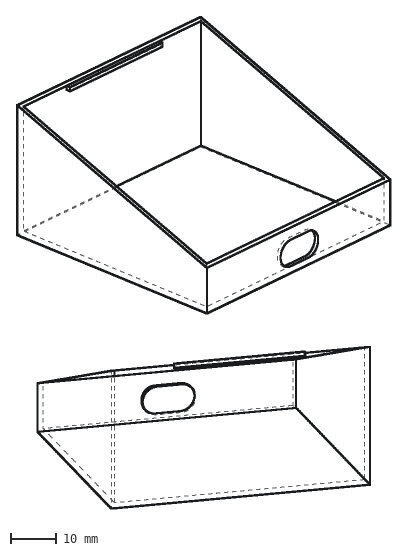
import cadquery as cq
import math

LENGTH = 57.0
WIDTH = 59.5
HEIGHT = 32.0
RIM_ANGLE = 20.0

WALL = 1.0
FLOOR = 1.0

FEATURE_CENTER_Y = 30.0

LIP_LENGTH = 30.0
LIP_DEPTH = 1.0
LIP_THICKNESS = 1.0

SLOT_LENGTH = 12.2
SLOT_HEIGHT = 6.5
SLOT_CENTER_Z = 5.0


def rim_height(x):
    """Height of the sloping rim at distance x from the tall wall."""
    return HEIGHT - x * math.tan(math.radians(RIM_ANGLE))


def make_tray():
    """Wedge-shaped box, open along its sloping top."""
    side_profile = [(0, 0), (LENGTH, 0), (LENGTH, rim_height(LENGTH)), (0, HEIGHT)]
    wedge = cq.Workplane("XZ").polyline(side_profile).close().extrude(-WIDTH)
    cavity = cq.Workplane("XY").box(
        LENGTH - 2 * WALL, WIDTH - 2 * WALL, HEIGHT, centered=False
    )
    return wedge.cut(cavity.translate((WALL, WALL, FLOOR)))


def make_lip():
    """Level bar set into the tall wall, its top flush with the inner rim edge."""
    bar = cq.Workplane("XY").box(
        WALL + LIP_DEPTH, LIP_LENGTH, LIP_THICKNESS, centered=(False, True, False)
    )
    return bar.translate((0, FEATURE_CENTER_Y, rim_height(WALL) - LIP_THICKNESS))


def make_slot_cutter():
    """Cutter for the low wall, overshooting it by one wall thickness on each side."""
    slot_plane = cq.Workplane(
        "YZ", origin=(LENGTH - 2 * WALL, FEATURE_CENTER_Y, SLOT_CENTER_Z)
    )
    return slot_plane.slot2D(SLOT_LENGTH, SLOT_HEIGHT).extrude(3 * WALL)


result = make_tray().union(make_lip()).cut(make_slot_cutter())